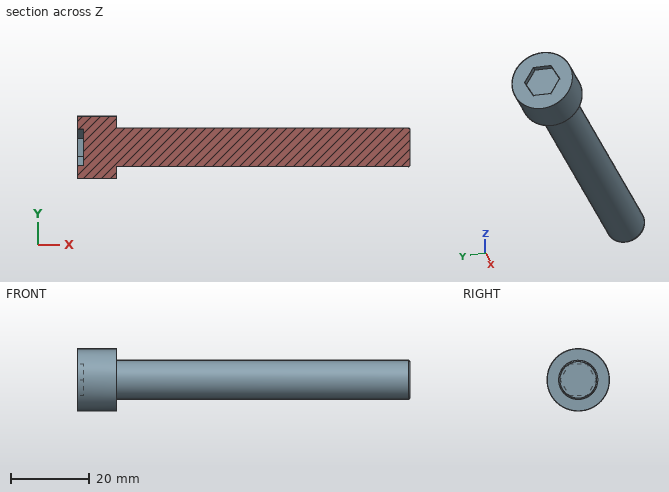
import cadquery as cq
import math

total_length = 85.0
shank_diameter = 10.0
head_diameter = 16.0
head_length = shank_diameter
tip_chamfer = 0.3
socket_across_flats = 8.0
socket_depth = 1.5


def make_head():
    return cq.Workplane("YZ").circle(head_diameter / 2).extrude(head_length)


def make_shank():
    shank = cq.Workplane("YZ").circle(shank_diameter / 2).extrude(total_length)
    return shank.faces(">X").chamfer(tip_chamfer)


def make_socket():
    across_corners = socket_across_flats / math.cos(math.radians(30))
    return cq.Workplane("YZ").polygon(6, across_corners).extrude(socket_depth)


screw = make_head().union(make_shank()).cut(make_socket())

result = screw.translate((-total_length / 2, 0, 0))